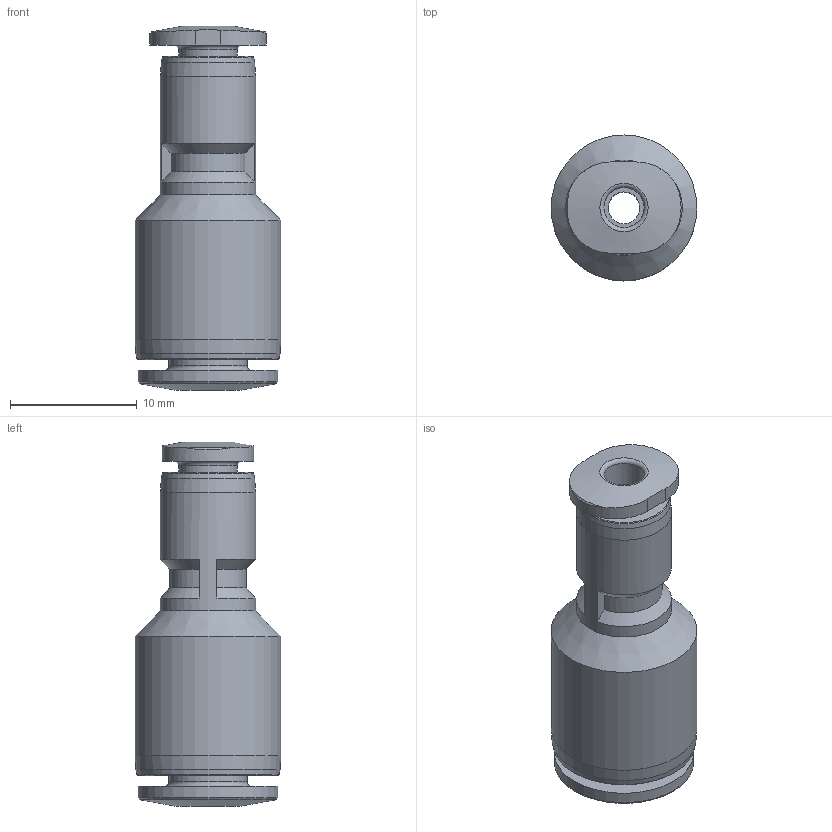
import cadquery as cq
import math

large_diameter = 11.5
large_end_diameter = 11.1
small_diameter = 7.5
small_end_diameter = 7.1
body_bottom_z = 2.4
body_top_z = 26.3
shoulder_bottom_z = 13.4
shoulder_height = (large_diameter - small_diameter) / 2

end_taper_length = 1.05
end_lip_length = 0.5
end_taper_inset = 0.07
end_edge_chamfer = 0.06

waist_diameter = 6.0
waist_bottom_z = 16.4
waist_top_z = 19.45
waist_slope_height = 0.8
rib_width = 1.4

large_button_diameter = 11.0
large_button_top_z = 1.55
large_button_face_diameter = 5.3
large_button_cone_height = 0.5
large_button_edge_height = 0.15
large_neck_diameter = 6.16

overall_height = 28.7
small_button_length = 9.2
small_button_width = 7.2
small_button_bottom_z = 27.2
small_button_cone_height = 0.46
small_button_edge_height = 0.15
small_neck_diameter = 4.58

button_edge_inset = 0.1
neck_fillet_radius = 0.35

through_diameter = 2.5
tube_diameter = 3.17
tube_mouth_diameter = 3.8
tube_mouth_radius = (tube_mouth_diameter - tube_diameter) / 2
tube_bottom_z = waist_top_z


def revolve_about_z(profile):
    """Revolve a closed XZ profile a full turn about the Z axis."""
    return profile.revolve(360, (0, 0, 0), (0, 1, 0))


def revolve_outline(points):
    """Revolve a straight-sided outline of (radius, z) points about the Z axis."""
    return revolve_about_z(cq.Workplane("XZ").polyline(points).close())


def make_body():
    """Stepped round body with a conical shoulder and tapered ends."""
    large_radius = large_diameter / 2
    small_radius = small_diameter / 2
    large_end_radius = large_end_diameter / 2
    small_end_radius = small_end_diameter / 2
    large_lip_z = body_bottom_z + end_lip_length
    small_lip_z = body_top_z - end_lip_length
    return revolve_outline([
        (0, body_bottom_z),
        (large_end_radius, body_bottom_z),
        (large_end_radius + end_edge_chamfer, body_bottom_z + end_edge_chamfer),
        (large_radius - end_taper_inset, large_lip_z),
        (large_radius, large_lip_z + end_taper_length),
        (large_radius, shoulder_bottom_z),
        (small_radius, shoulder_bottom_z + shoulder_height),
        (small_radius, small_lip_z - end_taper_length),
        (small_radius - end_taper_inset, small_lip_z),
        (small_end_radius + end_edge_chamfer, body_top_z - end_edge_chamfer),
        (small_end_radius, body_top_z),
        (0, body_top_z),
    ])


def make_waist_groove():
    """Ring removed at the waist, interrupted by a rib on each X side."""
    outer_radius = small_diameter / 2
    ring = revolve_outline([
        (outer_radius, waist_bottom_z),
        (waist_diameter / 2, waist_bottom_z + waist_slope_height),
        (waist_diameter / 2, waist_top_z - waist_slope_height),
        (outer_radius, waist_top_z),
    ])
    ribs = (
        cq.Workplane("XY")
        .workplane(offset=waist_bottom_z)
        .rect(small_diameter, rib_width)
        .extrude(waist_top_z - waist_bottom_z)
    )
    return ring.cut(ribs)


def make_neck(diameter, button_z, body_z):
    """Neck from a button face to the body, with a concave fillet at the button."""
    radius = diameter / 2
    toward_body = math.copysign(1, body_z - button_z)
    fillet_end_z = button_z + toward_body * neck_fillet_radius
    fillet_center = (radius + neck_fillet_radius, fillet_end_z)
    diagonal = neck_fillet_radius * math.sqrt(0.5)
    fillet_middle = (fillet_center[0] - diagonal, fillet_center[1] - toward_body * diagonal)
    profile = (
        cq.Workplane("XZ")
        .moveTo(0, button_z)
        .lineTo(radius + neck_fillet_radius, button_z)
        .threePointArc(fillet_middle, (radius, fillet_end_z))
        .lineTo(radius, body_z)
        .lineTo(0, body_z)
        .close()
    )
    return revolve_about_z(profile)


def make_large_button():
    """Round plate over a shallow downward cone, joined to the body by a neck."""
    radius = large_button_diameter / 2
    button = revolve_outline([
        (0, 0),
        (large_button_face_diameter / 2, 0),
        (radius - button_edge_inset, large_button_cone_height),
        (radius, large_button_cone_height + large_button_edge_height),
        (radius, large_button_top_z),
        (0, large_button_top_z),
    ])
    neck = make_neck(large_neck_diameter, large_button_top_z, body_bottom_z)
    return button.union(neck)


def make_small_button():
    """Oblong plate under a shallow cone, standing on a neck."""
    radius = small_button_length / 2
    cone_bottom_z = overall_height - small_button_cone_height
    dome = revolve_outline([
        (0, small_button_bottom_z),
        (radius, small_button_bottom_z),
        (radius, cone_bottom_z - small_button_edge_height),
        (radius - button_edge_inset, cone_bottom_z),
        (tube_mouth_diameter / 2, overall_height),
        (0, overall_height),
    ])
    plate = (
        cq.Workplane("XY")
        .workplane(offset=small_button_bottom_z)
        .slot2D(small_button_length, small_button_width)
        .extrude(overall_height - small_button_bottom_z)
    )
    neck = make_neck(small_neck_diameter, small_button_bottom_z, body_top_z)
    return dome.intersect(plate).union(neck)


def make_bore():
    """Through bore with a wider, round-mouthed tube socket at the upper end."""
    tube_radius = tube_diameter / 2
    mouth_bottom_z = overall_height - tube_mouth_radius
    diagonal = tube_mouth_radius * math.sqrt(0.5)
    mouth_middle = (tube_mouth_diameter / 2 - diagonal, mouth_bottom_z + diagonal)
    through = cq.Workplane("XY").circle(through_diameter / 2).extrude(overall_height)
    socket_profile = (
        cq.Workplane("XZ")
        .moveTo(0, tube_bottom_z)
        .lineTo(tube_radius, tube_bottom_z)
        .lineTo(tube_radius, mouth_bottom_z)
        .threePointArc(mouth_middle, (tube_mouth_diameter / 2, overall_height))
        .lineTo(0, overall_height)
        .close()
    )
    return through.union(revolve_about_z(socket_profile))


result = (
    make_body()
    .cut(make_waist_groove())
    .union(make_large_button())
    .union(make_small_button())
    .cut(make_bore())
)